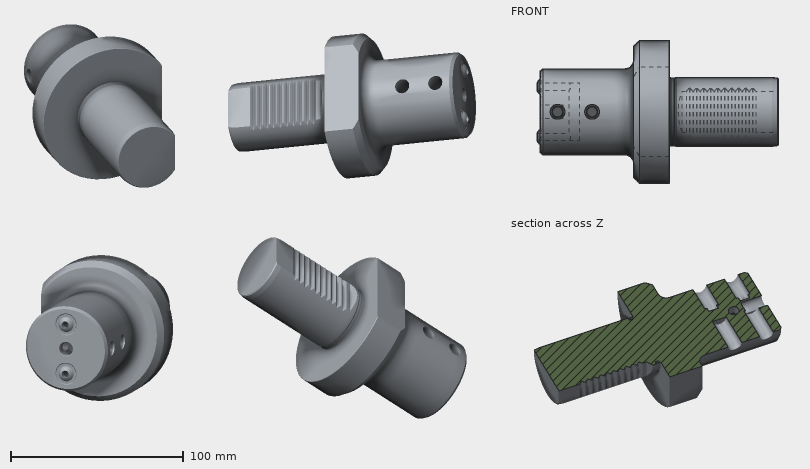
import cadquery as cq
import math

total_length = 140.0
face_x = 1.8
flange_front_x = 56.0
flange_back_x = 76.9

nose_radius = 50.0 / 2
nose_chamfer_length = 1.7
nose_chamfer_height = 1.4
nose_fillet = 5.0

flange_radius = 41.5
flange_chamfer_length = 3.5
flange_chamfer_height = 3.4
flange_back_chamfer = 0.3
flange_flat_y = 32.4

shank_radius = 40.0 / 2
neck_radius = 39.4 / 2
neck_end_x = 79.8
neck_ramp_length = 0.8
lead_in_length = 3.6
lead_in_height = 0.4
tip_chamfer = 0.5

seal_x = flange_back_x + neck_ramp_length
seal_width = 1.8
seal_inner_radius = 18.2

flat_y = 16.1
flat_start_x = 84.2
flat_ramp_angle = 60.0
tooth_count = 10
tooth_pitch = 4.0
first_tooth_x = 88.5
tooth_depth = 1.7
tooth_floor_width = 0.3
cutter_clearance = 1.4

nozzle_offset = 14.5
nozzle_diameter = 12.0
nozzle_gap = 0.4
nozzle_gap_depth = 0.4
ball_base_radius = 4.5
nozzle_bore_diameter = 4.2
cross_channel_diameter = 5.9
cross_channel_x = 21.5

centre_hole_diameter = 8.0
centre_hole_mouth_diameter = 8.5
centre_hole_depth = 13.3
floor_cone_angle = 172.0

side_hole_x = (11.9, 32.0)
side_hole_diameter = 8.5
side_hole_floor_y = 8.4
side_bore_diameter = 5.9
side_bore_mouth_diameter = 6.6
near_bore_floor_y = 5.6
far_hole_floor_y = 3.0


def x_cylinder(radius, start_x, end_x, z=0):
    """Solid cylinder along +X at height z."""
    plane = cq.Plane(origin=(start_x, 0, z), xDir=(0, 1, 0), normal=(1, 0, 0))
    return cq.Workplane(plane).circle(radius).extrude(end_x - start_x)


def revolve_about_x(profile, z=0):
    """Turn a closed (x, radius) profile about the line parallel to X at height z."""
    return profile.revolve(360, (0, 0, 0), (1, 0, 0)).translate((0, 0, z))


def turned_blank():
    """Nose, flange, neck and shank as one turned shape."""
    shank_lead_radius = shank_radius - lead_in_height
    fillet_start_x = flange_front_x - nose_fillet
    fillet_top_radius = nose_radius + nose_fillet
    fillet_mid = (
        fillet_start_x + nose_fillet * math.sin(math.pi / 4),
        fillet_top_radius - nose_fillet * math.cos(math.pi / 4),
    )
    profile = (
        cq.Workplane("XY")
        .moveTo(face_x, 0)
        .lineTo(face_x, nose_radius - nose_chamfer_height)
        .lineTo(face_x + nose_chamfer_length, nose_radius)
        .lineTo(fillet_start_x, nose_radius)
        .threePointArc(fillet_mid, (flange_front_x, fillet_top_radius))
        .lineTo(flange_front_x, flange_radius - flange_chamfer_height)
        .lineTo(flange_front_x + flange_chamfer_length, flange_radius)
        .lineTo(flange_back_x - flange_back_chamfer, flange_radius)
        .lineTo(flange_back_x, flange_radius - flange_back_chamfer)
        .lineTo(flange_back_x, shank_radius)
        .lineTo(flange_back_x + neck_ramp_length, neck_radius)
        .lineTo(neck_end_x, neck_radius)
        .lineTo(neck_end_x + neck_ramp_length, shank_radius)
        .lineTo(total_length - lead_in_length, shank_radius)
        .lineTo(total_length - tip_chamfer, shank_lead_radius)
        .lineTo(total_length, shank_lead_radius - tip_chamfer)
        .lineTo(total_length, 0)
        .close()
    )
    return revolve_about_x(profile)


def flange_flat_cutter():
    """Everything beyond the flat on the +Y side of the flange."""
    size = 2 * flange_radius
    return cq.Workplane("XY").box(size, size, size).translate(
        (flange_front_x, flange_flat_y + size / 2, 0)
    )


def serration_cutter():
    """Ramped flat on the +Y side of the shank with V-shaped teeth across it."""
    clear_y = shank_radius + cutter_clearance
    ramp_run = (clear_y - flat_y) / math.tan(math.radians(flat_ramp_angle))
    clear_x = total_length + cutter_clearance
    half_length = shank_radius + cutter_clearance
    flat = (
        cq.Workplane("XY")
        .polyline([
            (flat_start_x, flat_y),
            (flat_start_x - ramp_run, clear_y),
            (clear_x, clear_y),
            (clear_x, flat_y),
        ])
        .close()
        .extrude(half_length, both=True)
    )
    half_floor = tooth_floor_width / 2
    half_mouth = half_floor + tooth_depth
    for index in range(tooth_count):
        x = first_tooth_x + index * tooth_pitch
        groove = (
            cq.Workplane("XY")
            .polyline([
                (x - half_floor, flat_y - tooth_depth),
                (x + half_floor, flat_y - tooth_depth),
                (x + half_mouth, flat_y),
                (x - half_mouth, flat_y),
            ])
            .close()
            .extrude(half_length, both=True)
        )
        flat = flat.union(groove)
    return flat


def nozzle_gap_cutter(z):
    """Bevelled ring around the nozzle, sunk into the nose face."""
    inner_radius = nozzle_diameter / 2
    profile = (
        cq.Workplane("XY")
        .moveTo(face_x, inner_radius)
        .lineTo(face_x, inner_radius + nozzle_gap)
        .lineTo(face_x + nozzle_gap_depth, inner_radius)
        .close()
    )
    return revolve_about_x(profile, z)


def nozzle_ball(z):
    """Ball cap in front of the nose face; its flat tip has the bore diameter."""
    bore_radius = nozzle_bore_diameter / 2
    centre_x = (face_x**2 + ball_base_radius**2 - bore_radius**2) / (2 * face_x)
    ball_radius = math.hypot(centre_x, bore_radius)
    mid_x = face_x / 2
    mid_radius = math.sqrt(ball_radius**2 - (centre_x - mid_x) ** 2)
    root_x = face_x + nozzle_gap_depth
    profile = (
        cq.Workplane("XY")
        .lineTo(0, bore_radius)
        .threePointArc((mid_x, mid_radius), (face_x, ball_base_radius))
        .lineTo(root_x, ball_base_radius)
        .lineTo(root_x, 0)
        .close()
    )
    return revolve_about_x(profile, z)


def cross_channel():
    """Channel along Z inside the nose that joins the two nozzle bores."""
    return (
        cq.Workplane("XY", origin=(cross_channel_x, 0, 0))
        .circle(cross_channel_diameter / 2)
        .extrude(nozzle_offset + nozzle_bore_diameter / 2, both=True)
    )


def centre_hole_cutter():
    """Blind hole with a bevelled mouth and a shallow conical floor."""
    radius = centre_hole_diameter / 2
    mouth_radius = centre_hole_mouth_diameter / 2
    floor_x = face_x + centre_hole_depth
    cone_height = radius / math.tan(math.radians(floor_cone_angle / 2))
    profile = (
        cq.Workplane("XY")
        .moveTo(face_x, 0)
        .lineTo(face_x, mouth_radius)
        .lineTo(face_x + mouth_radius - radius, radius)
        .lineTo(floor_x, radius)
        .lineTo(floor_x + cone_height, 0)
        .close()
    )
    return revolve_about_x(profile)


def near_side_hole_cutter(x):
    """Stepped blind hole from the -Y side, with a bevelled edge on the step."""
    bore_radius = side_bore_diameter / 2
    mouth_radius = side_bore_mouth_diameter / 2
    bevel = mouth_radius - bore_radius
    hole_radius = side_hole_diameter / 2
    return (
        cq.Workplane("XY")
        .moveTo(0, -near_bore_floor_y)
        .lineTo(bore_radius, -near_bore_floor_y)
        .lineTo(bore_radius, bevel - side_hole_floor_y)
        .lineTo(mouth_radius, -side_hole_floor_y)
        .lineTo(hole_radius, -side_hole_floor_y)
        .lineTo(hole_radius, -nose_radius)
        .lineTo(0, -nose_radius)
        .close()
        .revolve(360, (0, 0, 0), (0, 1, 0))
        .translate((x, 0, 0))
    )


def far_side_hole_cutter(x):
    """Plain blind hole from the +Y side."""
    return (
        cq.Workplane("XZ", origin=(x, far_hole_floor_y, 0))
        .circle(side_hole_diameter / 2)
        .extrude(far_hole_floor_y - nose_radius)
    )


def make_seal_ring():
    """Flat ring that fills the neck groove flush."""
    seal_end_x = seal_x + seal_width
    outside = x_cylinder(neck_radius, seal_x, seal_end_x)
    return outside.cut(x_cylinder(seal_inner_radius, seal_x, seal_end_x))


def make_holder():
    """Turned body with all its flats, nozzles, channels and holes."""
    holder = turned_blank()
    holder = holder.cut(flange_flat_cutter())
    holder = holder.cut(serration_cutter())
    for z in (-nozzle_offset, nozzle_offset):
        holder = holder.cut(nozzle_gap_cutter(z))
        holder = holder.union(nozzle_ball(z))
        holder = holder.cut(x_cylinder(nozzle_bore_diameter / 2, 0, cross_channel_x, z=z))
    holder = holder.cut(cross_channel())
    holder = holder.cut(centre_hole_cutter())
    for x in side_hole_x:
        holder = holder.cut(near_side_hole_cutter(x))
        holder = holder.cut(far_side_hole_cutter(x))
    return holder.cut(make_seal_ring())


holder = make_holder()
seal_ring = make_seal_ring()

result = cq.Compound.makeCompound([holder.solids().val(), seal_ring.solids().val()])